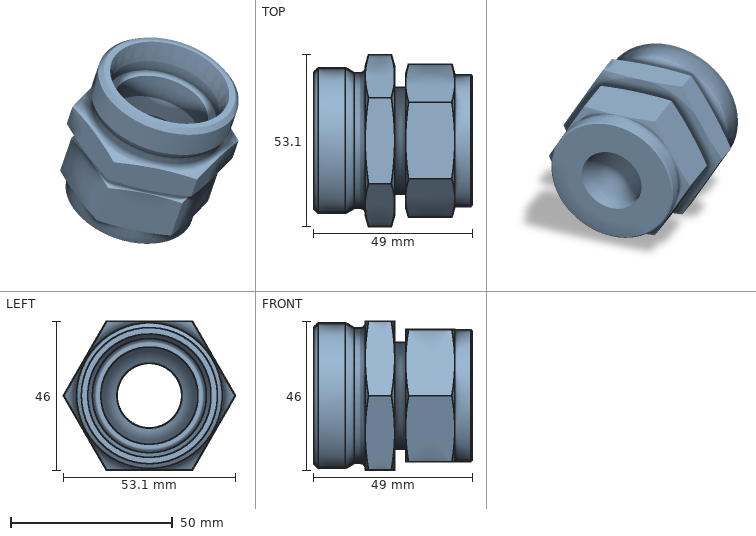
import cadquery as cq
import math

total_length = 49.0

thread_radius = 22.5
thread_chamfer = 1.5
thread_end = 9.85
groove_radius = 21.0
groove_start = 12.5
groove_fillet = 1.35

body_across_flats = 46.0
body_start = 15.95
body_end = 25.0
neck_radius = 16.6
nut_across_flats = 41.0
nut_start = 28.4
nut_end = 43.6
hex_chamfer_angle = 16.0

collar_radius = 20.4
collar_chamfer = 0.5

mouth_radius = 19.05
socket_radius = 17.65
mouth_taper_angle = 12.0
socket_depth = 10.5
counterbore_radius = 15.05
counterbore_depth = 18.95
through_radius = 10.0
cone_angle = 60.0


def slope(degrees):
    return math.tan(math.radians(degrees))


def revolve_about_axis(profile):
    """Turn a closed (x, radius) profile about the X axis."""
    return profile.close().revolve(360, (0, 0, 0), (1, 0, 0))


def cylinder(start, end, radius):
    return cq.Workplane("YZ", origin=(start, 0, 0)).circle(radius).extrude(end - start)


def chamfered_hexagon(start, end, across_flats):
    """Hexagon with corners on +-Y and both ends turned down to the circle inside its flats."""
    flat_radius = across_flats / 2
    corner_radius = flat_radius / math.cos(math.pi / 6)
    hexagon = cq.Workplane("YZ", origin=(start, 0, 0)).polygon(6, 2 * corner_radius).extrude(end - start)
    bevel = (corner_radius - flat_radius) * slope(hex_chamfer_angle)
    envelope = revolve_about_axis(
        cq.Workplane("XY")
        .moveTo(start, 0)
        .lineTo(start, flat_radius)
        .lineTo(start + bevel, corner_radius)
        .lineTo(end - bevel, corner_radius)
        .lineTo(end, flat_radius)
        .lineTo(end, 0)
    )
    return hexagon.intersect(envelope)


def threaded_spigot():
    return revolve_about_axis(
        cq.Workplane("XY")
        .lineTo(0, thread_radius - thread_chamfer)
        .lineTo(thread_chamfer, thread_radius)
        .lineTo(thread_end, thread_radius)
        .lineTo(groove_start, groove_radius)
        .lineTo(body_start - groove_fillet, groove_radius)
        .radiusArc((body_start, groove_radius + groove_fillet), -groove_fillet)
        .lineTo(body_start, 0)
    )


def stepped_bore():
    taper_end = (mouth_radius - socket_radius) / slope(mouth_taper_angle)
    cone_end = counterbore_depth + (counterbore_radius - through_radius) / slope(cone_angle)
    return revolve_about_axis(
        cq.Workplane("XY")
        .lineTo(0, mouth_radius)
        .lineTo(taper_end, socket_radius)
        .lineTo(socket_depth, socket_radius)
        .lineTo(socket_depth, counterbore_radius)
        .lineTo(counterbore_depth, counterbore_radius)
        .lineTo(cone_end, through_radius)
        .lineTo(total_length, through_radius)
        .lineTo(total_length, 0)
    )


neck = cylinder(body_end, nut_start, neck_radius)
collar = cylinder(nut_end, total_length, collar_radius).faces(">X").edges().chamfer(collar_chamfer)

result = (
    threaded_spigot()
    .union(chamfered_hexagon(body_start, body_end, body_across_flats))
    .union(neck)
    .union(chamfered_hexagon(nut_start, nut_end, nut_across_flats))
    .union(collar)
    .cut(stepped_bore())
)